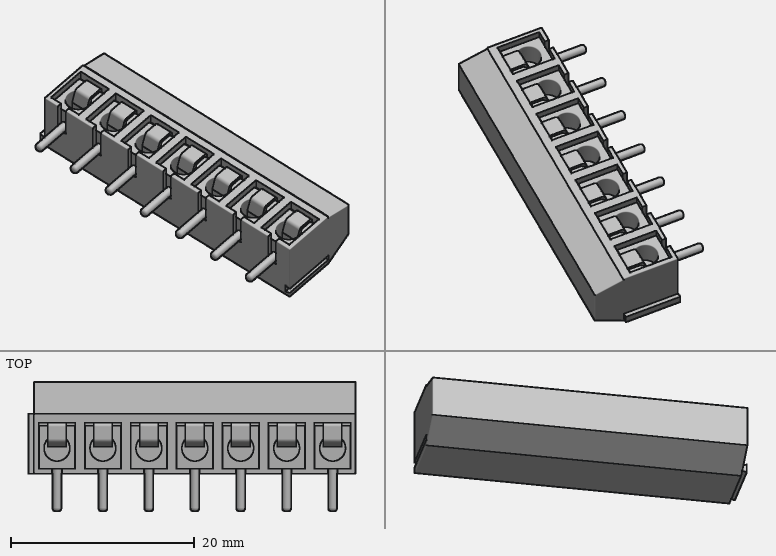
import cadquery as cq
import math

POLES = 7
OVERALL_LENGTH = 35.6
HEIGHT = 7.6
DEPTH = 10.0
BODY_LENGTH = 35.0
PITCH = BODY_LENGTH / POLES
EDGE_RADIUS = 0.1

SHOULDER_Y = 6.55
STEP_DROP = 0.18
REAR_TOP_DROP = 1.0
REAR_BOTTOM_RISE = 1.95

DOVETAIL_REACH = OVERALL_LENGTH - BODY_LENGTH
DOVETAIL_Z = 1.0
DOVETAIL_WIDE = 0.95
DOVETAIL_NARROW = 0.65

POCKET_WIDTH = 4.0
POCKET_DEPTH = 0.82
POCKET_FRONT_Y = 0.55
POCKET_REAR_Y = 5.55
REAR_GAP = 0.32
SIDE_GAP = 0.055
GAP_DEPTH = 0.35
WELL_DIAMETER = 2.8
WELL_RIM_RADIUS = 0.1
WELL_Y = 2.78
WELL_DEPTH = 3.55

TONGUE_WIDTH = 2.03
TONGUE_DROP = 0.45
TONGUE_TOE_Y = 2.92
TONGUE_TOE_DROP = 2.05
TONGUE_ANGLE = 70
TONGUE_RADIUS = 0.43

PIN_DIAMETER = 1.0
PIN_REACH = 4.1
PIN_Z = 4.5
PIN_TIP_RADIUS = 0.35
SLOT_WIDTH = 1.1
SLOT_FLOOR_Z = 3.95


def block(width, y_front, y_rear, z_bottom, z_top):
    """Box centred on X = 0 between the given Y and Z limits."""
    size = (width, y_rear - y_front, z_top - z_bottom)
    return cq.Workplane("XY").box(*size, centered=(True, False, False)).translate((0, y_front, z_bottom))


def make_body():
    """Housing profile along X, rounded at both ends, along the front face and around the flat top."""
    outline = [
        (0, 0),
        (SHOULDER_Y, 0),
        (DEPTH, REAR_BOTTOM_RISE),
        (DEPTH, HEIGHT - REAR_TOP_DROP),
        (SHOULDER_Y, HEIGHT - STEP_DROP),
        (SHOULDER_Y, HEIGHT),
        (0, HEIGHT),
    ]
    body = cq.Workplane("YZ").polyline(outline).close().extrude(BODY_LENGTH)
    return body.faces("<X or >X or <Y or >Z").edges().fillet(EDGE_RADIUS)


def make_dovetail():
    """Dovetail along Y, widening from X = 0 to X = -DOVETAIL_REACH, with a short straight root."""
    narrow_bottom = DOVETAIL_Z - DOVETAIL_NARROW / 2
    narrow_top = DOVETAIL_Z + DOVETAIL_NARROW / 2
    outline = [
        (EDGE_RADIUS, narrow_bottom),
        (EDGE_RADIUS, narrow_top),
        (0, narrow_top),
        (-DOVETAIL_REACH, DOVETAIL_Z + DOVETAIL_WIDE / 2),
        (-DOVETAIL_REACH, DOVETAIL_Z - DOVETAIL_WIDE / 2),
        (0, narrow_bottom),
    ]
    return cq.Workplane("XZ").polyline(outline).close().extrude(-SHOULDER_Y)


def make_cavity():
    """Pocket, gaps around its floor, round well and pin slot of one pole, centred on X = 0."""
    floor_z = HEIGHT - POCKET_DEPTH
    pocket = block(POCKET_WIDTH, POCKET_FRONT_Y, POCKET_REAR_Y, floor_z, HEIGHT)
    gap_floor_z = floor_z - GAP_DEPTH
    gap = block(POCKET_WIDTH, POCKET_FRONT_Y, POCKET_REAR_Y, gap_floor_z, floor_z)
    island = block(
        POCKET_WIDTH - 2 * SIDE_GAP, POCKET_FRONT_Y, POCKET_REAR_Y - REAR_GAP, gap_floor_z, floor_z
    )
    gap = gap.cut(island)
    slot = block(SLOT_WIDTH, 0, POCKET_FRONT_Y, SLOT_FLOOR_Z, HEIGHT)
    well = (
        cq.Workplane("XY", origin=(0, WELL_Y, HEIGHT - WELL_DEPTH))
        .circle(WELL_DIAMETER / 2)
        .extrude(WELL_DEPTH)
    )
    rim = cq.selectors.BoxSelector(
        (-WELL_DIAMETER, WELL_Y - WELL_DIAMETER, floor_z - WELL_RIM_RADIUS),
        (WELL_DIAMETER, WELL_Y + WELL_DIAMETER, floor_z + WELL_RIM_RADIUS),
    )
    pocket_and_well = pocket.union(well).edges("%CIRCLE").edges(rim).fillet(WELL_RIM_RADIUS)
    return pocket_and_well.union(gap).union(slot)


def make_tongue():
    """Clamp tongue with rounded upper corners and a steep front face above a vertical toe."""
    bottom_z = HEIGHT - WELL_DEPTH
    toe_z = HEIGHT - TONGUE_TOE_DROP
    top_z = HEIGHT - TONGUE_DROP
    lean = (top_z - toe_z) / math.tan(math.radians(TONGUE_ANGLE))
    outline = [
        (TONGUE_TOE_Y, bottom_z),
        (TONGUE_TOE_Y, toe_z),
        (TONGUE_TOE_Y + lean, top_z),
        (POCKET_REAR_Y, top_z),
        (POCKET_REAR_Y, bottom_z),
    ]
    tongue = cq.Workplane("YZ").polyline(outline).close().extrude(TONGUE_WIDTH / 2, both=True)
    return tongue.faces(">Z").edges("|X").fillet(TONGUE_RADIUS)


def make_pin():
    """Round pin pointing to -Y from the rear of its slot, with a rounded tip."""
    pin = (
        cq.Workplane("XZ", origin=(0, POCKET_FRONT_Y, PIN_Z))
        .circle(PIN_DIAMETER / 2)
        .extrude(POCKET_FRONT_Y + PIN_REACH)
    )
    return pin.faces("<Y").edges().fillet(PIN_TIP_RADIUS)


rail = make_dovetail()
groove = rail.translate((BODY_LENGTH, 0, 0))
result = make_body().union(rail).cut(groove)
for pole in range(POLES):
    place = ((pole + 0.5) * PITCH, 0, 0)
    result = result.cut(make_cavity().translate(place))
    result = result.union(make_tongue().translate(place))
    result = result.union(make_pin().translate(place))